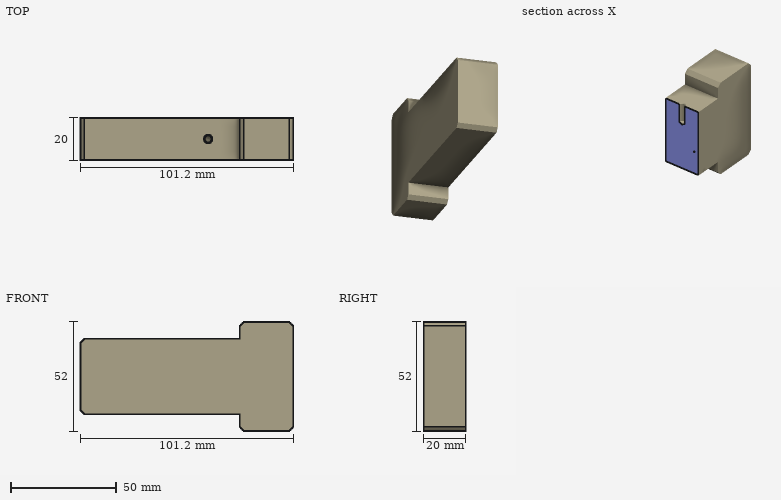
import cadquery as cq
import math

total_length = 101.25
thickness = 20.0
head_height = 52.0
head_length = 25.45
shank_height = 36.0
shank_length = total_length - head_length
edge_chamfer = 2.0

hole_diameter = 3.242
hole_depth = 10.0
drill_point_angle = 118.0
mouth_diameter = 4.05
hole_to_head = 15.0


def chamfered_block(x_start, length, height, chamfered_edges):
    """Block centred on Y and Z, starting at x_start, with the chosen edges chamfered."""
    block = cq.Workplane("XY").box(length, thickness, height, centered=(False, True, True))
    block = block.edges(chamfered_edges).chamfer(edge_chamfer)
    return block.translate((x_start, 0, 0))


def hole_cutter():
    """Drill shape revolved about Z: 45 degree mouth chamfer, straight bore and conical point."""
    radius = hole_diameter / 2
    mouth_radius = mouth_diameter / 2
    mouth_depth = mouth_radius - radius
    point_depth = radius / math.tan(math.radians(drill_point_angle / 2))
    profile = (
        cq.Workplane("XZ")
        .lineTo(mouth_radius, 0)
        .lineTo(radius, -mouth_depth)
        .lineTo(radius, -hole_depth)
        .lineTo(0, -hole_depth - point_depth)
        .close()
    )
    cutter = profile.revolve(360, (0, 0, 0), (0, 1, 0))
    return cutter.translate((shank_length - hole_to_head, 0, shank_height / 2))


shank = chamfered_block(0, total_length, shank_height, "|Y and <X")
head = chamfered_block(shank_length, head_length, head_height, "|Y")

result = shank.union(head).cut(hole_cutter())